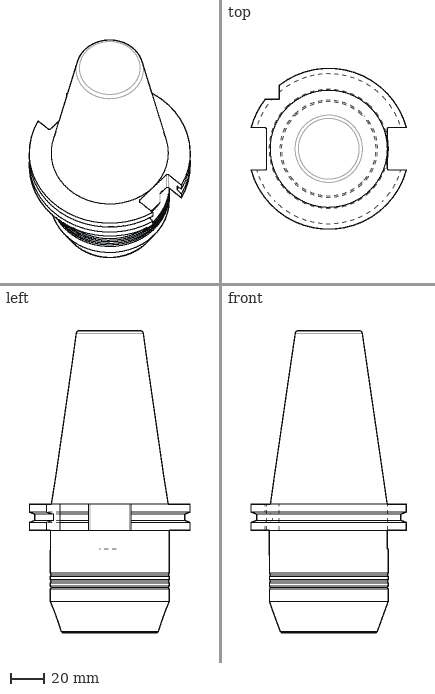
import cadquery as cq

total_height = 182.8
flange_top = 77.9
flange_thickness = 15.9
flange_bottom = flange_top - flange_thickness

taper_ratio = 7 / 24
taper_small_diameter = 40.2
taper_length = total_height - flange_top
taper_large_diameter = taper_small_diameter + taper_length * taper_ratio
taper_end_fillet = 2.0

flange_diameter = 97.4
gripper_groove_depth = 3.3
gripper_groove_mouth = 6.2
gripper_groove_floor = 3.7
gripper_groove_height = (flange_top + flange_bottom) / 2

slot_width = 25.5
left_slot_floor = 37.6
right_slot_floor = 35.5
right_slot_runout = 11.1
slot_corner_radius = 1.0

notch_offset = 30.0

body_diameter = 72.0
nose_cone_height = 19.0
nose_cone_diameter = 58.8
nose_chamfer = 1.0
body_groove_width = 2.0
body_groove_depth = 0.5
body_groove_pitch = 3.8
body_groove_count = 3
lowest_body_groove = 27.5


def revolve_profile(points):
    """Revolve a closed (radius, height) outline about the Z axis."""
    return cq.Workplane("XZ").polyline(points).close().revolve(360, (0, 0), (0, 1))


def make_blank():
    """Body, flange and taper as one turned solid."""
    nose_radius = nose_cone_diameter / 2
    body_radius = body_diameter / 2
    flange_radius = flange_diameter / 2
    blank = revolve_profile([
        (0, 0),
        (nose_radius - nose_chamfer, 0),
        (nose_radius, nose_chamfer),
        (body_radius, nose_cone_height),
        (body_radius, flange_bottom),
        (flange_radius, flange_bottom),
        (flange_radius, flange_top),
        (taper_large_diameter / 2, flange_top),
        (taper_small_diameter / 2, total_height),
        (0, total_height),
    ])
    return blank.faces(">Z").edges().fillet(taper_end_fillet)


def make_groove(surface_diameter, depth, mouth, floor, height):
    """Ring cutter with sloping sides; a zero floor width gives a V groove."""
    outer = surface_diameter / 2
    inner = outer - depth
    points = [(outer, height - mouth / 2), (inner, height - floor / 2)]
    if floor > 0:
        points.append((inner, height + floor / 2))
    points.append((outer, height + mouth / 2))
    return revolve_profile(points)


def make_slot(floor_distance, side, runout=0):
    """Drive slot cutter through the flange; side is -1 for -X and +1 for +X.

    The runout continues the slot below the flange.
    """
    length = flange_diameter / 2
    return (
        cq.Workplane("XY", origin=(side * (floor_distance + length / 2), 0, flange_bottom - runout))
        .rect(length, slot_width)
        .extrude(flange_thickness + runout)
        .edges("|Z")
        .fillet(slot_corner_radius)
    )


def make_notch():
    """Square corner cutter through the flange on the -X, +Y side."""
    size = flange_diameter / 2
    return (
        cq.Workplane("XY", origin=(-notch_offset, notch_offset, flange_bottom))
        .rect(-size, size, centered=False)
        .extrude(flange_thickness)
    )


result = make_blank()
result = result.cut(make_groove(
    flange_diameter,
    gripper_groove_depth,
    gripper_groove_mouth,
    gripper_groove_floor,
    gripper_groove_height,
))
for index in range(body_groove_count):
    groove_height = lowest_body_groove + index * body_groove_pitch
    result = result.cut(make_groove(body_diameter, body_groove_depth, body_groove_width, 0, groove_height))
result = result.cut(make_slot(left_slot_floor, -1))
result = result.cut(make_slot(right_slot_floor, 1, right_slot_runout))
result = result.cut(make_notch())